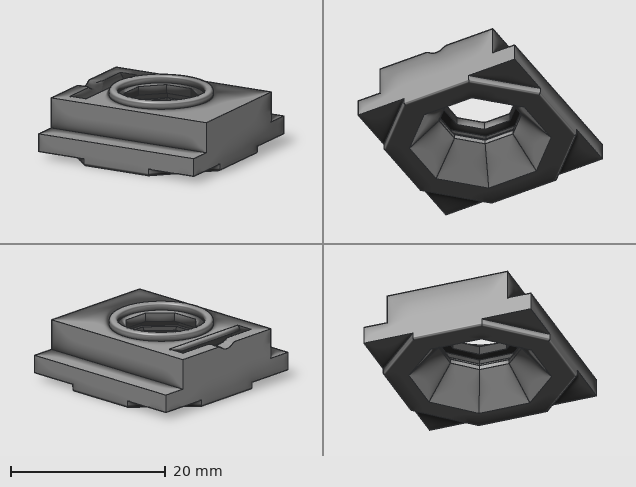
import cadquery as cq
import math

SIDE = 23.2
HALF_SIDE = SIDE / 2
BODY_TOP = 7.42
FLANGE_TOP = 3.39
UPPER_WIDTH = 16.73
FOOT_HEIGHT = 1.0
FOOT_FILLET = 0.4

TOTAL_HEIGHT = 8.4
RING_OUTER_DIAMETER = 13.5
RING_INNER_DIAMETER = 11.25
RING_HEIGHT = TOTAL_HEIGHT - BODY_TOP
RING_FILLET = 0.49

THROAT_APOTHEM = 4.5
GROOVE_APOTHEM = 5.78
LEDGE_APOTHEM = 5.25
WAIST_APOTHEM = 4.96
FLARE_APOTHEM = 8.54
GROOVE_TOP = 6.26
LEDGE_LEVEL = 5.3
WAIST_TOP = 4.87
WAIST_BOTTOM = 4.27

SLOT_START = -HALF_SIDE + 1.75
SLOT_MOUTH_WIDTH = 2.4
SLOT_END = SLOT_START + SLOT_MOUTH_WIDTH
SLOT_LENGTH = 12.95
SLOT_BACK = SLOT_START + 3.48
SLOT_RADIUS = 3.65
SLOT_AXIS_RISE = 1.45
LIP_OVERHANG = 0.4
LIP_DEPTH = 0.67
LIP_EDGE = SLOT_END - LIP_OVERHANG

NOTCH_RADIUS = 1.58
NOTCH_DEPTH = 0.6
NOTCH_FILLET = 0.95
RIM_MARGIN = 0.23


def octagon_section(apothem, level):
    """Regular octagon with flats square to X and Y, on the plane Z = level."""
    circumscribed_diameter = 2 * apothem / math.cos(math.pi / 8)
    return (
        cq.Workplane("XY", origin=(0, 0, level))
        .transformed(rotate=(0, 0, 22.5))
        .polygon(8, circumscribed_diameter)
    )


def octagon_prism(apothem, bottom, top):
    return octagon_section(apothem, bottom).extrude(top - bottom)


def octagon_frustum(bottom_apothem, bottom, top_apothem, top):
    lower = octagon_section(bottom_apothem, bottom).wires().vals()
    upper = octagon_section(top_apothem, top).wires().vals()
    return cq.Workplane(cq.Solid.makeLoft(lower + upper, True))


def make_body():
    foot = octagon_prism(HALF_SIDE, 0, FOOT_HEIGHT).faces("<Z").edges().fillet(FOOT_FILLET)
    flange = (
        cq.Workplane("XY", origin=(0, 0, FOOT_HEIGHT))
        .rect(SIDE, SIDE)
        .extrude(FLANGE_TOP - FOOT_HEIGHT)
    )
    upper = (
        cq.Workplane("XY", origin=(0, 0, FLANGE_TOP))
        .rect(SIDE, UPPER_WIDTH)
        .extrude(BODY_TOP - FLANGE_TOP)
    )
    return foot.union(flange).union(upper)


def make_ring():
    return (
        cq.Workplane("XY", origin=(0, 0, BODY_TOP))
        .circle(RING_OUTER_DIAMETER / 2)
        .circle(RING_INNER_DIAMETER / 2)
        .extrude(RING_HEIGHT)
        .faces(">Z").edges()
        .fillet(RING_FILLET)
    )


def make_opening():
    throat = octagon_prism(THROAT_APOTHEM, GROOVE_TOP, BODY_TOP)
    groove = octagon_prism(GROOVE_APOTHEM, LEDGE_LEVEL, GROOVE_TOP)
    slope = octagon_frustum(WAIST_APOTHEM, WAIST_TOP, LEDGE_APOTHEM, LEDGE_LEVEL)
    waist = octagon_prism(WAIST_APOTHEM, WAIST_BOTTOM, WAIST_TOP)
    flare = octagon_frustum(FLARE_APOTHEM, 0, WAIST_APOTHEM, WAIST_BOTTOM)
    return throat.union(groove).union(slope).union(waist).union(flare)


def make_slot():
    """Slot with a concave floor reaching under a rounded lip on its +X side."""
    axis_z = BODY_TOP + SLOT_AXIS_RISE
    axis_x = SLOT_START + math.sqrt(SLOT_RADIUS**2 - SLOT_AXIS_RISE**2)
    floor_end_z = axis_z - math.sqrt(SLOT_RADIUS**2 - (SLOT_BACK - axis_x) ** 2)
    start_angle = math.atan2(BODY_TOP - axis_z, SLOT_START - axis_x)
    end_angle = math.atan2(floor_end_z - axis_z, SLOT_BACK - axis_x)
    middle_angle = (start_angle + end_angle) / 2
    floor_middle = (
        axis_x + SLOT_RADIUS * math.cos(middle_angle),
        axis_z + SLOT_RADIUS * math.sin(middle_angle),
    )
    lip_radius = (LIP_OVERHANG**2 + LIP_DEPTH**2) / (2 * LIP_OVERHANG)
    lip_half_angle = math.asin(LIP_DEPTH / lip_radius) / 2
    lip_middle = (
        LIP_EDGE + lip_radius * (1 - math.cos(lip_half_angle)),
        BODY_TOP - LIP_DEPTH + lip_radius * math.sin(lip_half_angle),
    )
    return (
        cq.Workplane("XZ")
        .moveTo(SLOT_START, BODY_TOP)
        .threePointArc(floor_middle, (SLOT_BACK, floor_end_z))
        .lineTo(SLOT_BACK, BODY_TOP - LIP_DEPTH)
        .lineTo(LIP_EDGE, BODY_TOP - LIP_DEPTH)
        .threePointArc(lip_middle, (SLOT_END, BODY_TOP))
        .close()
        .extrude(SLOT_LENGTH / 2, both=True)
    )


def cut_notch(body):
    """Cut the notch and round its rims along the top face and the slot."""
    notch = (
        cq.Workplane("YZ", origin=(-HALF_SIDE, 0, 0))
        .center(0, BODY_TOP - NOTCH_DEPTH + NOTCH_RADIUS)
        .circle(NOTCH_RADIUS)
        .extrude(LIP_EDGE + HALF_SIDE)
    )
    rims = cq.selectors.BoxSelector(
        (-HALF_SIDE + RIM_MARGIN, -NOTCH_RADIUS, BODY_TOP - NOTCH_DEPTH - RIM_MARGIN),
        (LIP_EDGE - RIM_MARGIN, NOTCH_RADIUS, BODY_TOP + RIM_MARGIN),
    )
    return body.cut(notch).edges(rims).fillet(NOTCH_FILLET)


slotted_body = make_body().cut(make_slot())
result = cut_notch(slotted_body).union(make_ring()).cut(make_opening())